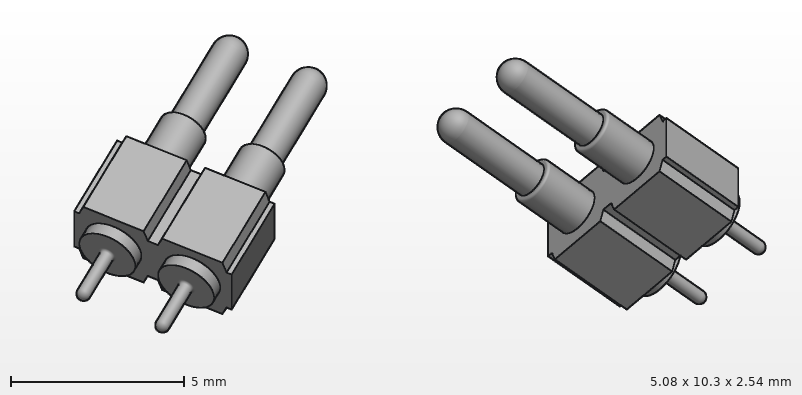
import cadquery as cq
import math

total_length = 10.26
housing_width = 5.08
housing_height = 2.54
housing_length = 2.81

pin_count = 2
pitch = housing_width / pin_count
pin_positions = [(i - (pin_count - 1) / 2) * pitch for i in range(pin_count)]

notch_depth = 0.4
notch_inner_inset = 0.16
notch_outer_inset = 0.3

contact_radius = 0.54
contact_length = 3.49
shank_radius = 0.73
shank_length = 1.81
shank_edge_radius = 0.08
flange_radius = 0.9
flange_length = 0.4
tail_radius = 0.22
tail_root_fillet = 0.08

housing_back = housing_length
shank_end = housing_back + shank_length
contact_tip = shank_end + contact_length
tail_tip = contact_tip - total_length
flange_front = -flange_length


def make_cell(x):
    """One housing cell: a prism with notched corners, extruded toward +Y."""
    half_width = pitch / 2
    half_height = housing_height / 2
    notch_z = half_height - notch_depth
    step_x = half_width - notch_inner_inset
    flat_x = half_width - notch_outer_inset
    upper_right = [(half_width, notch_z), (step_x, notch_z), (flat_x, half_height)]
    upper_left = [(-px, pz) for px, pz in reversed(upper_right)]
    upper_half = upper_right + upper_left
    lower_half = [(-px, -pz) for px, pz in upper_half]
    outline = cq.Workplane("XZ").polyline(upper_half + lower_half).close()
    return outline.extrude(-housing_length).translate((x, 0, 0))


def make_housing():
    """Row of joined cells with a through hole for each pin shank."""
    body = make_cell(pin_positions[0])
    for x in pin_positions[1:]:
        body = body.union(make_cell(x))
    holes = (
        cq.Workplane("XZ")
        .pushPoints([(x, 0) for x in pin_positions])
        .circle(shank_radius)
        .extrude(-housing_length)
    )
    return body.cut(holes)


def make_pin(x):
    """Turned pin: domed tail, flange against the housing, shank, domed contact."""
    diagonal = math.sqrt(0.5)
    tail_dome_start = tail_tip + tail_radius
    contact_dome_start = contact_tip - contact_radius
    root_center = (tail_radius + tail_root_fillet, flange_front - tail_root_fillet)
    edge_center = (shank_radius - shank_edge_radius, shank_end - shank_edge_radius)
    half_section = (
        cq.Workplane("XY")
        .moveTo(0, tail_tip)
        .threePointArc(
            (tail_radius * diagonal, tail_dome_start - tail_radius * diagonal),
            (tail_radius, tail_dome_start),
        )
        .lineTo(tail_radius, root_center[1])
        .threePointArc(
            (root_center[0] - tail_root_fillet * diagonal, root_center[1] + tail_root_fillet * diagonal),
            (root_center[0], flange_front),
        )
        .lineTo(flange_radius, flange_front)
        .lineTo(flange_radius, 0)
        .lineTo(shank_radius, 0)
        .lineTo(shank_radius, edge_center[1])
        .threePointArc(
            (edge_center[0] + shank_edge_radius * diagonal, edge_center[1] + shank_edge_radius * diagonal),
            (edge_center[0], shank_end),
        )
        .lineTo(contact_radius, shank_end)
        .lineTo(contact_radius, contact_dome_start)
        .threePointArc(
            (contact_radius * diagonal, contact_dome_start + contact_radius * diagonal),
            (0, contact_tip),
        )
        .close()
    )
    return half_section.revolve(360, (0, 0, 0), (0, 1, 0)).translate((x, 0, 0))


housing = make_housing()
pins = [make_pin(x) for x in pin_positions]

result = cq.Compound.makeCompound([housing.val(), *[pin.val() for pin in pins]])